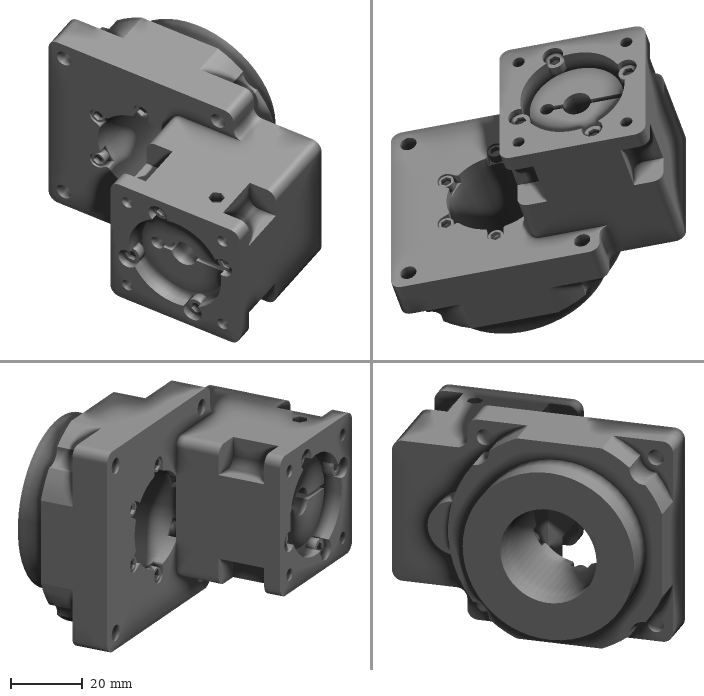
import cadquery as cq
import math


overall_length = 82

plate_side = 60.0
plate_thickness = 11.0
corner_radius = 3.0
mount_hole_offset = 25.0
mount_hole_diameter = 4.7
bore_radius = 14.0

boss_height = 10.0
boss_radius = 32.5
boss_relief_radius = 4.5

turntable_radius = 25.0
turntable_height = 10.0
side_hole_diameter = 2.05
side_hole_depth = 4.1
side_hole_angle = 16

mount_side = 42.0
mount_offset = overall_length - plate_side / 2 - mount_side / 2
spacer_thickness = 13.5
neck_length = 14.4
flange_thickness = 5.0
notch_side = 8.45
flange_hole_offset = 15.5
flange_hole_diameter = 3.5
recess_radius = 15.0
rear_cap_radius = 8.0
rear_cap_height = 8.0

plug_diameter = 8.1
plug_length = 4.9
plug_side_offset = 7.8
plug_setback = 9.4
plug_hex_width = 4.0
plug_hex_depth = 3.3
plug_hex_turn = 90

hub_setback = 4.75
hub_radius = 13.5
bushing_radius = 5.5
shaft_radius = 4.0
slit_width = 1.5
relief_offset = 8.6
relief_diameter = 4.0

screw_circle_radius = 16.5
plate_screw_count = 6
plate_screw_angle = 30
plate_pocket_width = 4.75
plate_pocket_depth = 3.0
plate_pocket_round = 0.8
plate_head_diameter = 4.35
plate_head_setback = 0.5
plate_hex_width = 2.9
flange_screw_count = 4
flange_screw_angle = 20
flange_pocket_diameter = 6.0
flange_head_diameter = 5.5
flange_head_setback = 2.0
flange_hex_width = 3.0
hex_socket_depth = 1.5

plate_back = boss_height
plate_front = plate_back + plate_thickness
spacer_front = plate_front + spacer_thickness
flange_back = spacer_front + neck_length
mount_front = flange_back + flange_thickness
hub_front = mount_front - hub_setback


def plane_at(level, x=0, z=0):
    """Workplane facing the front (-Y), at a level, with its centre at X, Z."""
    return cq.Workplane("XZ", origin=(x, -level, z))


def corner_points(offset):
    """The four corners of a square around the workplane centre."""
    return [(sx * offset, sz * offset) for sx in (-1, 1) for sz in (-1, 1)]


def circle_points(count, start_angle):
    """Screw places, equally spaced on the screw circle."""
    angles = [math.radians(start_angle + i * 360 / count) for i in range(count)]
    return [(screw_circle_radius * math.cos(a), screw_circle_radius * math.sin(a)) for a in angles]


def rounded_block(side, back, front, x=0):
    """Square block with rounded edges along Y."""
    return plane_at(back, x).rect(side, side).extrude(front - back).edges("|Y").fillet(corner_radius)


def hex_corner_diameter(width):
    """Diameter across corners of a hexagon with this width across flats."""
    return width / math.cos(math.pi / 6)


def screw_head(x, z, floor, face, diameter, hex_width, hex_turn):
    """Socket head standing on a pocket floor, with its hexagon turned by hex_turn degrees."""
    head = plane_at(floor, x, z).circle(diameter / 2).extrude(face - floor)
    socket = (
        plane_at(face, x, z)
        .transformed(rotate=(0, 0, hex_turn))
        .polygon(6, hex_corner_diameter(hex_width))
        .extrude(-hex_socket_depth)
    )
    return head.cut(socket)


def make_boss():
    """Round boss trimmed by the plate outline and relieved around the mounting holes."""
    boss_round = plane_at(0).circle(boss_radius).extrude(boss_height)
    boss_square = plane_at(0).rect(plate_side, plate_side).extrude(boss_height)
    open_side = plane_at(0, plate_side / 2).rect(plate_side, plate_side).extrude(boss_height)
    reliefs = (
        plane_at(0).pushPoints(corner_points(mount_hole_offset)).circle(boss_relief_radius).extrude(boss_height)
    )
    return boss_round.intersect(boss_square.union(open_side)).cut(reliefs)


def make_plate():
    """Square plate with an arm that reaches under the motor mount."""
    plate = plane_at(plate_back).rect(plate_side, plate_side).extrude(plate_thickness)
    arm_length = mount_offset + mount_side / 2
    arm = plane_at(plate_back, arm_length / 2).rect(arm_length, mount_side).extrude(plate_thickness)
    outline = plate.union(arm).edges("|Y").fillet(corner_radius)
    holes = (
        plane_at(plate_back)
        .pushPoints(corner_points(mount_hole_offset))
        .circle(mount_hole_diameter / 2)
        .extrude(plate_thickness)
    )
    return outline.cut(holes)


def plate_screw_pocket(angle):
    """Pocket open to the bore, with rounded mouth edges, pointing along the given angle."""
    half_width = plate_pocket_width / 2
    mouth_half = half_width + plate_pocket_round
    mouth = math.sqrt(bore_radius**2 - mouth_half**2)
    wall_start = mouth + plate_pocket_round
    bend = plate_pocket_round * math.sqrt(0.5)
    inside = mouth - plate_pocket_round
    return (
        plane_at(plate_front)
        .moveTo(inside, -mouth_half)
        .lineTo(mouth, -mouth_half)
        .threePointArc((wall_start - bend, -mouth_half + bend), (wall_start, -half_width))
        .lineTo(screw_circle_radius, -half_width)
        .threePointArc((screw_circle_radius + half_width, 0), (screw_circle_radius, half_width))
        .lineTo(wall_start, half_width)
        .threePointArc((wall_start - bend, mouth_half - bend), (mouth, mouth_half))
        .lineTo(inside, mouth_half)
        .close()
        .extrude(-plate_pocket_depth)
        .rotate((0, 0, 0), (0, -1, 0), angle)
    )


def make_base():
    """Plate, boss and rear cap with the central bore and its ring of screws."""
    cap_back = plate_back - rear_cap_height
    rear_cap = plane_at(cap_back, mount_offset).circle(rear_cap_radius).extrude(rear_cap_height)
    bore = plane_at(0).circle(bore_radius).extrude(plate_front)
    base = make_plate().union(make_boss()).union(rear_cap).cut(bore)
    floor = plate_front - plate_pocket_depth
    face = plate_front - plate_head_setback
    for i, (x, z) in enumerate(circle_points(plate_screw_count, plate_screw_angle)):
        angle = plate_screw_angle + i * 360 / plate_screw_count
        base = base.cut(plate_screw_pocket(angle))
        base = base.union(screw_head(x, z, floor, face, plate_head_diameter, plate_hex_width, angle))
    return base


def make_flange():
    """Notched neck and square motor flange, with the recess for the hub."""
    neck = rounded_block(mount_side, spacer_front, mount_front, mount_offset)
    notches = (
        plane_at(spacer_front, mount_offset)
        .pushPoints(corner_points(mount_side / 2))
        .rect(2 * notch_side, 2 * notch_side)
        .extrude(neck_length)
        .edges("|Y")
        .fillet(corner_radius)
    )
    holes = (
        plane_at(flange_back, mount_offset)
        .pushPoints(corner_points(flange_hole_offset))
        .circle(flange_hole_diameter / 2)
        .extrude(flange_thickness)
    )
    recess = plane_at(spacer_front, mount_offset).circle(recess_radius).extrude(mount_front - spacer_front)
    return neck.cut(notches).cut(holes).cut(recess)


def add_flange_screws(flange):
    """Counterbored screws around the recess."""
    face = mount_front - flange_head_setback
    screws = circle_points(flange_screw_count, flange_screw_angle)
    for i, (x, z) in enumerate(screws):
        screw_x = mount_offset + x
        turn = i * 360 / flange_screw_count
        pocket = plane_at(flange_back, screw_x, z).circle(flange_pocket_diameter / 2).extrude(flange_thickness)
        head = screw_head(screw_x, z, flange_back, face, flange_head_diameter, flange_hex_width, turn)
        flange = flange.cut(pocket).union(head)
    return flange


def add_plug(flange):
    """Flush plug with a hexagon socket; its round outline stays as an edge."""
    plug_x = mount_offset + plug_side_offset
    plug_top = cq.Workplane("XY", origin=(plug_x, plug_setback - mount_front, mount_side / 2))
    plug = plug_top.circle(plug_diameter / 2).extrude(-plug_length)
    socket = (
        plug_top.transformed(rotate=(0, 0, plug_hex_turn))
        .polygon(6, hex_corner_diameter(plug_hex_width))
        .extrude(-plug_hex_depth)
    )
    return flange.cut(plug).union(plug.cut(socket), clean=False)


def make_housing():
    """Base, spacer and flange joined in one solid; the joints stay as edges."""
    spacer = rounded_block(mount_side, plate_front, spacer_front, mount_offset)
    flange = add_plug(add_flange_screws(make_flange()))
    return make_base().union(spacer, clean=False).union(flange, clean=False)


def make_turntable():
    """Ring with a small radial hole in its rim."""
    ring = plane_at(-turntable_height).circle(turntable_radius).circle(bore_radius).extrude(turntable_height)
    side_hole = (
        cq.Workplane("YZ", origin=(turntable_radius - side_hole_depth, turntable_height / 2, 0))
        .circle(side_hole_diameter / 2)
        .extrude(2 * side_hole_depth)
        .rotate((0, 0, 0), (0, -1, 0), side_hole_angle)
    )
    return ring.cut(side_hole)


def make_clamp_hub():
    """Slit disc and its flush bushing, standing on the spacer; the bushing outline stays as an edge."""
    hub_length = hub_front - spacer_front
    base = plane_at(spacer_front, mount_offset)
    hub = base.circle(hub_radius).circle(bushing_radius).extrude(hub_length)
    bushing = base.circle(bushing_radius).circle(shaft_radius).extrude(hub_length)
    slit_length = relief_offset + hub_radius
    slit_centre = (hub_radius - relief_offset) / 2
    slit = base.center(slit_centre, 0).rect(slit_length, slit_width).extrude(hub_length)
    relief = base.center(-relief_offset, 0).circle(relief_diameter / 2).extrude(hub_length)
    return hub.union(bushing, clean=False).cut(slit.union(relief), clean=False)


housing = make_housing().solids()
turntable = make_turntable().solids()
clamp_hub = make_clamp_hub().solids()

result = cq.Compound.makeCompound([housing.val(), turntable.val(), clamp_hub.val()])